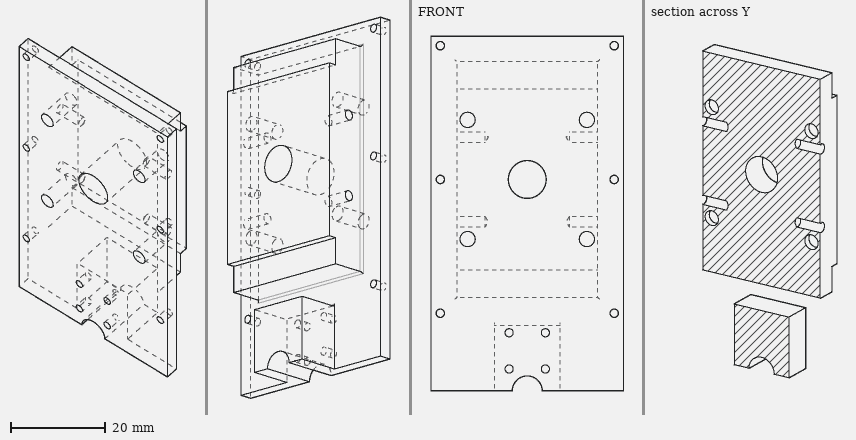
import cadquery as cq
import math

plate_width = 41.0
plate_height = 75.5
plate_thickness = 3.0
total_depth = 13.0

block_width = 30.0
block_height = 50.1
block_center_z = plate_height - 30.5
pad_height = 38.5
pad_rise = 2.0

foot_width = 14.0
foot_height = 14.0

root_radius = 0.5

bore_diameter = 8.0
edge_hole_diameter = 1.7
edge_hole_x = 18.5
edge_hole_pitch = 28.5
mount_hole_diameter = 3.25
mount_hole_offset = 12.7
mount_hole_depth = 8.0
side_hole_diameter = 2.2
side_hole_y = 6.95
side_hole_offset = 9.0
side_hole_depth = 6.05
pin_hole_diameter = 1.7
pin_hole_offset = 3.85
pin_center_z = 8.5
notch_radius = 3.2
drill_point_angle = 118.0


def rear_box(width, depth, height, bottom_z):
    """Box centred on X that grows from the front face of the plate towards +Y."""
    floor = cq.Workplane("XY").workplane(offset=bottom_z)
    return floor.box(width, depth, height, centered=(True, False, False))


def cross_hole(diameter, x, z, depth):
    """Flat-ended cylinder entering the front face along +Y."""
    return cq.Workplane(cq.Solid.makeCylinder(diameter / 2, depth, cq.Vector(x, 0, z), cq.Vector(0, 1, 0)))


def drilled_hole(diameter, depth, start, direction):
    """Blind hole with a conical drill point beyond its straight depth."""
    radius = diameter / 2
    axis = cq.Vector(*direction)
    entry = cq.Vector(*start)
    tip_length = radius / math.tan(math.radians(drill_point_angle / 2))
    barrel = cq.Solid.makeCylinder(radius, depth, entry, axis)
    tip = cq.Solid.makeCone(radius, 0, tip_length, entry + axis * depth, axis)
    return cq.Workplane(barrel.fuse(tip))


def root_edges(width, low_z, high_z):
    """Selector for the edges on the rear face of the plate inside a centred rectangle."""
    margin = 0.1
    low_corner = (-width / 2 - margin, plate_thickness - margin, low_z - margin)
    high_corner = (width / 2 + margin, plate_thickness + margin, high_z + margin)
    return cq.selectors.BoxSelector(low_corner, high_corner, boundingbox=True)


block_bottom_z = block_center_z - block_height / 2
plate = rear_box(plate_width, plate_thickness, plate_height, 0)
block = rear_box(block_width, total_depth - pad_rise, block_height, block_bottom_z)
pad = rear_box(block_width, total_depth, pad_height, block_center_z - pad_height / 2)
foot = rear_box(foot_width, total_depth, foot_height, 0)
body = plate.union(block).union(pad).union(foot)

block_top_z = block_bottom_z + block_height
body = body.edges(root_edges(block_width, block_bottom_z, block_top_z)).fillet(root_radius)
body = body.edges(root_edges(foot_width, foot_height, foot_height)).fillet(root_radius)

body = body.cut(cross_hole(bore_diameter, 0, block_center_z, total_depth))
body = body.cut(cross_hole(2 * notch_radius, 0, 0, total_depth))

for side in (-1, 1):
    for row in (-1, 0, 1):
        hole_z = block_center_z + row * edge_hole_pitch
        body = body.cut(cross_hole(edge_hole_diameter, side * edge_hole_x, hole_z, plate_thickness))

for side in (-1, 1):
    for row in (-1, 1):
        mount_start = (side * mount_hole_offset, 0, block_center_z + row * mount_hole_offset)
        body = body.cut(drilled_hole(mount_hole_diameter, mount_hole_depth, mount_start, (0, 1, 0)))

        pin_z = pin_center_z + row * pin_hole_offset
        body = body.cut(cross_hole(pin_hole_diameter, side * pin_hole_offset, pin_z, plate_thickness))

        side_start = (side * block_width / 2, side_hole_y, block_center_z + row * side_hole_offset)
        body = body.cut(drilled_hole(side_hole_diameter, side_hole_depth, side_start, (-side, 0, 0)))

result = body